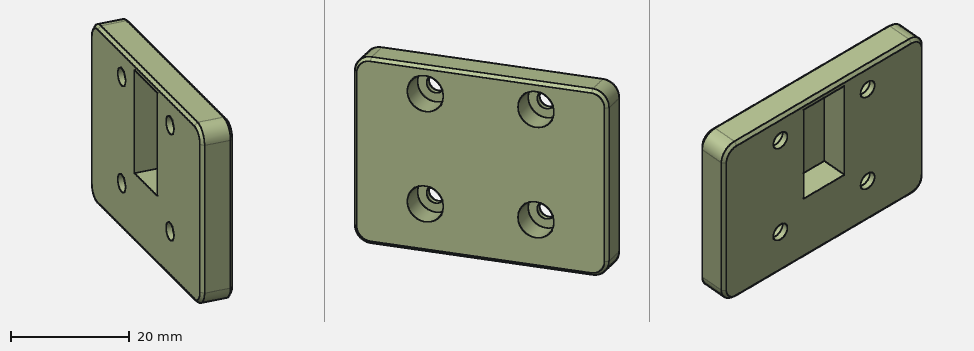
import cadquery as cq

width = 46
thickness = 6
height = 33.8
corner_radius = 3.0
edge_chamfer = 0.6

hole_diameter = 3.2
counterbore_diameter = 6.5
hole_neck_length = 1.2
hole_spacing = 20.0
hole_pattern_z = 1.9

pocket_width = 9.4
pocket_bottom = -3.8
pocket_top = 15.6
pocket_depth = 5.0

front_y = -thickness / 2


def make_plate():
    plate = cq.Workplane("XY").box(width, thickness, height)
    plate = plate.edges("|Y").fillet(corner_radius)
    return plate.faces("<Y or >Y").edges().chamfer(edge_chamfer)


def make_pattern_cylinders(diameter, start_y):
    return (
        cq.Workplane("XZ", origin=(0, start_y, hole_pattern_z))
        .rect(hole_spacing, hole_spacing, forConstruction=True)
        .vertices()
        .circle(diameter / 2)
        .extrude(-thickness)
    )


def make_pocket():
    pocket_height = pocket_top - pocket_bottom
    return cq.Workplane("XY").box(
        pocket_width, pocket_depth, pocket_height, centered=(True, False, False)
    ).translate((0, front_y, pocket_bottom))


holes = make_pattern_cylinders(hole_diameter, front_y)
counterbores = make_pattern_cylinders(counterbore_diameter, front_y + hole_neck_length)

result = make_plate().cut(holes).cut(counterbores).cut(make_pocket())